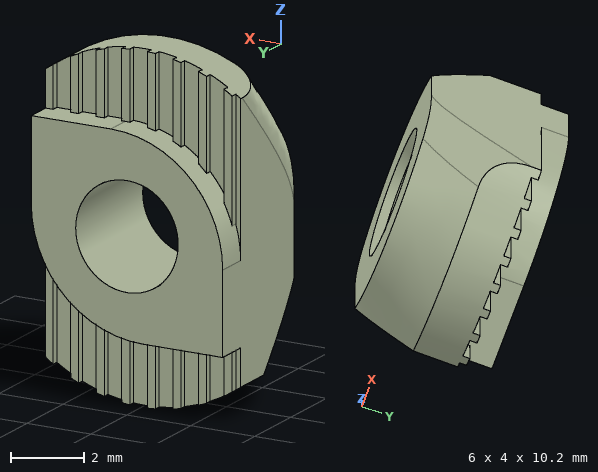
import cadquery as cq
import math

length = 10.2
width = 6.0
depth = 4.0
face_radius = 3.5
cone_depth = 1.7
body_depth = 3.0
tooth_height = 0.2
tooth_width = 0.25
tooth_count = 8
first_tooth_offset = 0.15
blend_radius = 1.3
boss_corner_radius = 3.5
hole_radius = 1.6
hole_chamfer = 0.25

outer_radius = length / 2
half_width = width / 2
pitches_across_width = 7.5
tooth_pitch = width / pitches_across_width
front_y = -depth / 2
base_y = front_y + body_depth


def prism(sketch_on_plane, start_y, end_y):
    """Extrude an XZ outline from start_y towards +Y up to end_y."""
    plane = cq.Workplane("XZ", origin=(0, start_y, 0))
    return sketch_on_plane(plane).extrude(start_y - end_y)


def make_body():
    """Flat-sided cone with two opposite blended edges, trimmed to a round-ended plate."""
    back_radius = face_radius + (outer_radius - face_radius) * body_depth / cone_depth
    cone = (
        cq.Workplane("XY")
        .polyline([(0, front_y), (face_radius, front_y), (back_radius, base_y), (0, base_y)])
        .close()
        .revolve(360, (0, 0), (0, 1))
    )
    slab = cq.Workplane("XY").box(width, depth, 2 * back_radius)
    flat_cone = cone.intersect(slab)

    mid_y = (front_y + base_y) / 2
    mid_radius = (face_radius + back_radius) / 2
    edge_z = math.sqrt(mid_radius**2 - half_width**2)
    upper_left = cq.selectors.NearestToPointSelector((-half_width, mid_y, edge_z))
    lower_right = cq.selectors.NearestToPointSelector((half_width, mid_y, -edge_z))
    blended = flat_cone.edges(upper_left + lower_right).fillet(blend_radius)
    return blended.intersect(prism(lambda plane: plane.circle(outer_radius), front_y, base_y))


def make_teeth():
    """Row of ribs along Z on the back of the plate, trimmed to its outline."""
    tip_y = base_y + tooth_height
    outline = prism(lambda plane: plane.circle(outer_radius), base_y, tip_y)
    first_x = first_tooth_offset + tooth_width / 2 - half_width
    centers = [(first_x + i * tooth_pitch, 0) for i in range(tooth_count)]
    ribs = prism(lambda plane: plane.pushPoints(centers).rect(tooth_width, length), base_y, tip_y)
    sides = cq.Workplane("XY").box(width, depth, length)
    return ribs.intersect(outline).intersect(sides)


def make_boss():
    """Square boss with two opposite corners rounded, so the nut can turn in its slot."""
    square = prism(lambda plane: plane.rect(width, width), base_y, depth / 2)
    upper_left = cq.selectors.NearestToPointSelector((-half_width, base_y, half_width))
    lower_right = cq.selectors.NearestToPointSelector((half_width, base_y, -half_width))
    return square.edges("|Y").edges(upper_left + lower_right).fillet(boss_corner_radius)


def make_hole():
    """Through hole with a 45 degree chamfer at the clamping face."""
    mouth_radius = hole_radius + hole_chamfer
    profile = [
        (0, front_y),
        (mouth_radius, front_y),
        (hole_radius, front_y + hole_chamfer),
        (hole_radius, depth / 2),
        (0, depth / 2),
    ]
    return cq.Workplane("XY").polyline(profile).close().revolve(360, (0, 0), (0, 1))


result = make_body().union(make_teeth()).union(make_boss()).cut(make_hole())